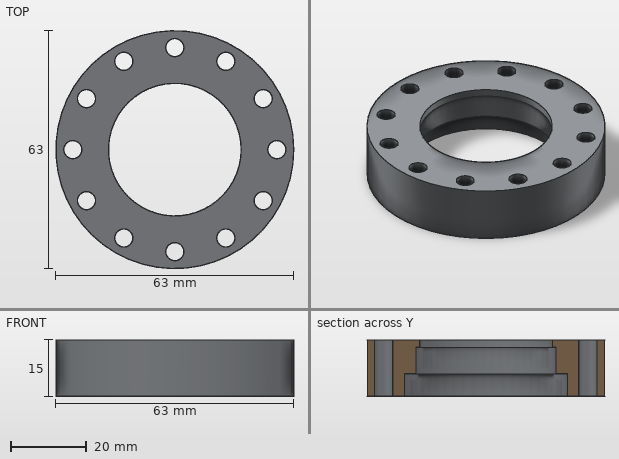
import cadquery as cq

outer_diameter = 63.0
height = 15.0

lip_diameter = 35.0
lip_thickness = 2.0
seat_diameter = 37.0
pocket_diameter = 43.0
pocket_depth = 6.0

bolt_count = 12
bolt_hole_diameter = 4.7
bolt_circle_diameter = 54.0


def cylinder(diameter, length):
    """Solid cylinder on the Z axis, standing on the bottom plane."""
    return cq.Workplane("XY").circle(diameter / 2).extrude(length)


def stepped_bore():
    """Through bore with a wider seat below the lip and the widest pocket at the bottom."""
    opening = cylinder(lip_diameter, height)
    seat = cylinder(seat_diameter, height - lip_thickness)
    pocket = cylinder(pocket_diameter, pocket_depth)
    return opening.union(seat).union(pocket)


def bolt_holes():
    """Through holes evenly spaced on the bolt circle, the first one on +X."""
    return (
        cq.Workplane("XY")
        .polarArray(bolt_circle_diameter / 2, 0, 360, bolt_count)
        .circle(bolt_hole_diameter / 2)
        .extrude(height)
    )


body = cylinder(outer_diameter, height)
result = body.cut(stepped_bore()).cut(bolt_holes())